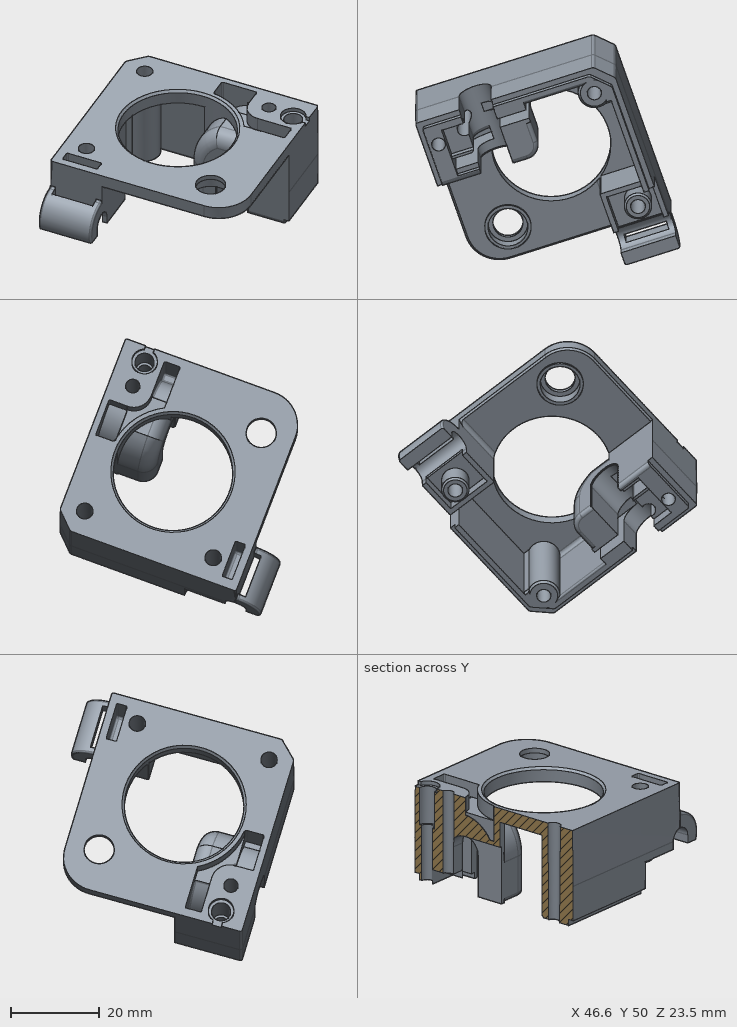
import cadquery as cq
import math

WIDTH = 46.55
DEPTH = 50.0
HEIGHT = 23.5
FRONT_Y = 5.85
PARTING_Z = 9.95
DRAFT = 0.5
BACK_CHAMFER = 4.0
FRONT_CORNER_R = 8.1
SMALL_CORNER_R = 0.6
CHAMFER_CORNER_R = 1.0

OVERRUN = 0.5

PLATE_THICKNESS = 3.5
PLATE_BOTTOM_Z = HEIGHT - PLATE_THICKNESS
PLATE_EDGE_CHAMFER = 0.45
LEFT_WALL = 2.55
BACK_WALL = 3.0
WALL_END_Y = 18.35
WALL_FILLET = 1.0
BACK_WALL_BOTTOM_FILLET = 0.5
LIP_HEIGHT = 1.5
LIP_INSET = 1.35

BORE_X = 21.1
BORE_Y = 29.0
BORE_D = 27.0
BORE_CHAMFER = 0.55
HOLE_SPACING = 31.0
LEFT_HOLE_X = BORE_X - HOLE_SPACING / 2
RIGHT_HOLE_X = BORE_X + HOLE_SPACING / 2
FRONT_HOLE_Y = BORE_Y - HOLE_SPACING / 2
BACK_HOLE_Y = BORE_Y + HOLE_SPACING / 2

HOLE_D = 3.2
TAPERED_HOLE_TOP_D = 3.7
PEG_D = 6.2
PEG_BOTTOM_Z = 5.9
PEG_EDGE = 0.45
BACK_BOSS_D = 7.3
BACK_BOSS_WEB_X = 4.05
BACK_BOSS_WEB_Y = 41.15
BACK_BOSS_EDGE = 0.5
COLLAR_HOLE_D = 6.8
COLLAR_RELIEF_D = 9.0
COLLAR_RELIEF_DEPTH = 1.15
COLLAR_D = 10.5
COLLAR_HEIGHT = 0.55

SCREW_X = 42.9
SCREW_Y = 44.0
SCREW_HOLE_D = 3.1
SCREW_COUNTERBORE_D = 4.3
SCREW_COUNTERBORE_DEPTH = 10.0
SEAT_D = 5.8
SEAT_DEPTH = 0.95
SEAT_NECK = 2.15

CLIP_LENGTH = 13.05
CLIP_Y = 6.0
CLIP_OUTER_R = 6.0
CLIP_BORE_R = 2.55
CLIP_BOTTOM_Z = 8.0
CLIP_ROOT_FILLET = 0.5
CLIP_END_FILLET = 0.45
CLIP_SLOT_X = (1.4, 11.55)
CLIP_SLOT_WIDTH = 1.7
BLOCK_SKIN = 1.15
BLOCK_RECESS_TOP_Z = 11.0

CORE_X = (2.3, 11.0)
CORE_Y = (7.7, 10.15)
CORE_DEPTH = 9.5
CORE_CORNER_R = 0.35
CORE_FLOOR_R = 0.6

ARCH_LEFT_X = 21.5
ARCH_FRONT_Y = 34.1
ARCH_X = 32.9
ARCH_Z = 9.85
ARCH_R = ARCH_X - ARCH_LEFT_X
ARCH_EDGE_FILLET = 3.5
ARCH_BOTTOM_FILLET = 1.0

SLOT_X = 32.2
SLOT_WIDTH = 7.65
SLOT_AXIS_Z = 10.05
SLOT_EDGE = 0.25
CAVITY_Y = (36.6, 39.2)
CAVITY_R = 9.0
POST_CORNER_R = 0.75
POST_BACK_Y = 39.8
POST_FOOT_Z = 3.4
WINDOW_Y = (43.5, 45.6)
WINDOW_TOP_Z = 13.9

CHANNEL_WALL_R = 15.0
CHANNEL_FLOOR_Z = 19.95
LEFT_POCKET_X = (23.05, 31.8)
LEFT_POCKET_Y = (44.0, 48.4)
LEFT_POCKET_FLOOR_Z = 15.0
LEFT_POCKET_ARCH_R = 9.25
RIGHT_POCKET_X = (36.5, 44.5)
RIGHT_POCKET_Y = (36.0, 39.8)
RIGHT_POCKET_FLOOR_Z = 12.0
RIGHT_POCKET_ARCH_R = 10.6
POCKET_CORNER_R = 0.35
POCKET_FLOOR_R = 0.3


def block(x_range, y_range, z_range):
    """Axis-aligned box between the given limits."""
    size = [b - a for a, b in (x_range, y_range, z_range)]
    corner = (x_range[0], y_range[0], z_range[0])
    return cq.Workplane("XY").box(*size, centered=False).translate(corner)


def cylinder(x, y, diameter, bottom_z, top_z):
    """Upright cylinder between two heights."""
    return cq.Workplane("XY", origin=(x, y, bottom_z)).circle(diameter / 2).extrude(top_z - bottom_z)


def cylinder_along_y(x, z, radius, y_range):
    """Cylinder lying along Y."""
    return cq.Workplane("XZ", origin=(x, y_range[0], z)).circle(radius).extrude(y_range[0] - y_range[1])


def edge_near(solid, point):
    """Selects the edge whose middle lies nearest to a point."""
    return solid.edges(cq.selectors.NearestToPointSelector(point))


def arched_slot(x, axis_z, radius, y_range):
    """Round-topped tool along Y that runs down past the bottom."""
    straight = block((x - radius, x + radius), y_range, (-OVERRUN, axis_z))
    return straight.union(cylinder_along_y(x, axis_z, radius, y_range))


def outline(inset=0.0):
    """Plan outline of the body: back left chamfer, large front right corner, small other corners."""
    left, right = inset, WIDTH - inset
    front, back = FRONT_Y + inset, DEPTH - inset
    cut = BACK_CHAMFER
    big = FRONT_CORNER_R - inset
    corners = [(left, front), (right, front), (right, back), (left + cut, back), (left, back - cut)]
    plan = cq.Sketch().polygon(corners + corners[:1])
    plan = plan.vertices(">X and <Y").fillet(big).reset()
    plan = plan.vertices("(<X or >Y) and (not <Y) and (not >X)").fillet(CHAMFER_CORNER_R).reset()
    return plan.vertices("(<X and <Y) or (>X and >Y)").fillet(SMALL_CORNER_R).reset()


def envelope():
    """Outer form: drafted both ways from the parting plane, with an inset lip at the bottom."""
    def drafted(height):
        plane = cq.Workplane("XY", origin=(0, 0, PARTING_Z))
        return plane.placeSketch(outline()).extrude(height, taper=DRAFT)

    lip = cq.Workplane("XY").placeSketch(outline(LIP_INSET)).extrude(LIP_HEIGHT)
    lower = drafted(LIP_HEIGHT - PARTING_Z)
    return drafted(HEIGHT - PARTING_Z).union(lower).union(lip)


def framework():
    """Plate, left and back walls, clip block and housing, trimmed to the outer form."""
    across = (0, WIDTH)
    plate = envelope().intersect(block(across, (0, DEPTH), (PLATE_BOTTOM_Z, HEIGHT)))
    plate = plate.faces("<Z").edges().chamfer(PLATE_EDGE_CHAMFER)
    left_wall = block((0, LEFT_WALL), (WALL_END_Y, DEPTH), (0, HEIGHT))
    back_wall = block(across, (DEPTH - BACK_WALL, DEPTH), (0, HEIGHT))
    back_wall = back_wall.edges("<Y and <Z").fillet(BACK_WALL_BOTTOM_FILLET)
    clip_block = block((0, CLIP_LENGTH), (0, WALL_END_Y), (CLIP_BOTTOM_Z, HEIGHT))
    housing = block((ARCH_LEFT_X, WIDTH), (ARCH_FRONT_Y, DEPTH), (0, HEIGHT))
    housing = housing.edges("<Y and <Z").fillet(ARCH_BOTTOM_FILLET)
    supports = left_wall.union(back_wall).union(clip_block).union(housing)
    frame = plate.union(supports.intersect(envelope()))

    back_y = DEPTH - BACK_WALL
    frame = edge_near(frame, (CLIP_LENGTH, (FRONT_Y + WALL_END_Y) / 2, PLATE_BOTTOM_Z)).fillet(WALL_FILLET)
    frame = edge_near(frame, ((LEFT_WALL + ARCH_LEFT_X) / 2, back_y, PLATE_BOTTOM_Z)).fillet(WALL_FILLET)
    return frame


def arch():
    """Rounded arch standing in front of the housing inside the bore."""
    top_z = PLATE_BOTTOM_Z
    top_x = ARCH_X - math.sqrt(ARCH_R**2 - (top_z - ARCH_Z) ** 2)
    middle_angle = math.pi - math.atan2(top_z - ARCH_Z, ARCH_X - top_x) / 2
    arc_middle = (ARCH_X + ARCH_R * math.cos(middle_angle), ARCH_Z + ARCH_R * math.sin(middle_angle))
    right = RIGHT_HOLE_X
    solid = (
        cq.Workplane("XZ", origin=(0, ARCH_FRONT_Y, 0))
        .moveTo(ARCH_LEFT_X, 0)
        .lineTo(ARCH_LEFT_X, ARCH_Z)
        .threePointArc(arc_middle, (top_x, top_z))
        .lineTo(right, top_z)
        .lineTo(right, 0)
        .close()
        .extrude(ARCH_FRONT_Y - BACK_HOLE_Y)
    )
    solid = solid.faces("<Y").edges("not(<Z or >X)").fillet(ARCH_EDGE_FILLET)
    return solid.faces("<Z").edges("<Y").fillet(ARCH_BOTTOM_FILLET)


def clip():
    """Half-round clip on the front wall, with a filleted root and rounded ends."""
    root_y = FRONT_Y - CLIP_ROOT_FILLET
    reach = CLIP_OUTER_R + CLIP_ROOT_FILLET
    root_z = PARTING_Z + math.sqrt(reach**2 - (CLIP_Y - root_y) ** 2)
    share = CLIP_OUTER_R / reach
    blend = (CLIP_Y + (root_y - CLIP_Y) * share, PARTING_Z + (root_z - PARTING_Z) * share)
    half = math.sqrt(0.5)
    blend_middle = (root_y + CLIP_ROOT_FILLET * half, root_z - CLIP_ROOT_FILLET * half)
    outer_middle = (CLIP_Y - CLIP_OUTER_R * half, PARTING_Z + CLIP_OUTER_R * half)
    nose_y = CLIP_Y - math.sqrt(CLIP_OUTER_R**2 - (PARTING_Z - CLIP_BOTTOM_Z) ** 2)
    solid = (
        cq.Workplane("YZ")
        .moveTo(nose_y, CLIP_BOTTOM_Z)
        .threePointArc(outer_middle, blend)
        .threePointArc(blend_middle, (FRONT_Y, root_z))
        .lineTo(CLIP_Y, root_z)
        .lineTo(CLIP_Y, CLIP_BOTTOM_Z)
        .close()
        .extrude(CLIP_LENGTH)
    )
    return solid.faces("<X or >X").edges("%CIRCLE").fillet(CLIP_END_FILLET)


def clip_cuts():
    """Bore of the clip, open downwards, and the slot along its root."""
    bore = cq.Workplane("YZ").center(CLIP_Y, PARTING_Z).circle(CLIP_BORE_R).extrude(CLIP_LENGTH)
    mouth_y = (CLIP_Y - CLIP_BORE_R, CLIP_Y + CLIP_BORE_R)
    mouth = block((0, CLIP_LENGTH), mouth_y, (0, PARTING_Z))
    slot = block(CLIP_SLOT_X, (FRONT_Y - CLIP_SLOT_WIDTH, CLIP_Y), (PARTING_Z, PLATE_BOTTOM_Z))
    slot = slot.cut(envelope())
    return bore.union(mouth).union(slot)


def block_recess():
    """Hollow in the underside of the clip block, inside an even skin."""
    return block(
        (BLOCK_SKIN, CLIP_LENGTH - BLOCK_SKIN),
        (CLIP_Y + CLIP_BORE_R, WALL_END_Y - BLOCK_SKIN),
        (CLIP_BOTTOM_Z, BLOCK_RECESS_TOP_Z),
    )


def bosses():
    """Peg and boss around the left holes, and the collar under the front right hole."""
    peg = cylinder(LEFT_HOLE_X, FRONT_HOLE_Y, PEG_D, PEG_BOTTOM_Z, PLATE_BOTTOM_Z)
    peg = peg.faces("<Z").edges().chamfer(PEG_EDGE)
    back_boss = cylinder(LEFT_HOLE_X, BACK_HOLE_Y, BACK_BOSS_D, 0, PLATE_BOTTOM_Z)
    web = block((0, BACK_BOSS_WEB_X), (BACK_BOSS_WEB_Y, DEPTH), (0, PLATE_BOTTOM_Z))
    back_boss = back_boss.union(web).faces("<Z").edges().chamfer(BACK_BOSS_EDGE)
    collar = cylinder(RIGHT_HOLE_X, FRONT_HOLE_Y, COLLAR_D, PLATE_BOTTOM_Z - COLLAR_HEIGHT, PLATE_BOTTOM_Z)
    return peg.union(back_boss).union(collar)


def tapered_hole(y):
    """Left-hand through hole that narrows from the top face to the bottom."""
    return (
        cq.Workplane("XY", origin=(LEFT_HOLE_X, y, 0))
        .circle(HOLE_D / 2)
        .workplane(offset=HEIGHT)
        .circle(TAPERED_HOLE_TOP_D / 2)
        .loft()
    )


def holes():
    """The four pattern holes and the screw hole with its keyhole-shaped seat."""
    collar_bore = cylinder(RIGHT_HOLE_X, FRONT_HOLE_Y, COLLAR_HOLE_D, 0, HEIGHT)
    relief = cylinder(RIGHT_HOLE_X, FRONT_HOLE_Y, COLLAR_RELIEF_D, 0, HEIGHT - COLLAR_RELIEF_DEPTH)
    plain = cylinder(RIGHT_HOLE_X, BACK_HOLE_Y, HOLE_D, 0, HEIGHT)
    screw = cylinder(SCREW_X, SCREW_Y, SCREW_HOLE_D, 0, HEIGHT)
    counterbore = cylinder(SCREW_X, SCREW_Y, SCREW_COUNTERBORE_D, HEIGHT - SCREW_COUNTERBORE_DEPTH, HEIGHT)
    seat = cylinder(SCREW_X, SCREW_Y, SEAT_D, HEIGHT - SEAT_DEPTH, HEIGHT)
    neck_y = (SCREW_Y - SEAT_NECK / 2, SCREW_Y + SEAT_NECK / 2)
    neck = block((SCREW_X, WIDTH), neck_y, (HEIGHT - SEAT_DEPTH, HEIGHT))
    tools = collar_bore.union(relief).union(plain).union(screw).union(counterbore).union(seat).union(neck)
    for y in (FRONT_HOLE_Y, BACK_HOLE_Y):
        tools = tools.union(tapered_hole(y))
    return tools


def channel():
    """Channel that curves from the left pocket to the right pocket outside the bore wall."""
    def pocket(x_range, y_range, floor_z, arch_r):
        box = block(x_range, y_range, (floor_z, HEIGHT)).edges("|Z").fillet(POCKET_CORNER_R)
        return box.cut(cylinder_along_y(SLOT_X, SLOT_AXIS_Z, arch_r, y_range))

    left = pocket(LEFT_POCKET_X, LEFT_POCKET_Y, LEFT_POCKET_FLOOR_Z, LEFT_POCKET_ARCH_R)
    right = pocket(RIGHT_POCKET_X, RIGHT_POCKET_Y, RIGHT_POCKET_FLOOR_Z, RIGHT_POCKET_ARCH_R)
    right = right.faces("<Y or >Y").edges("%CIRCLE").fillet(POCKET_FLOOR_R)
    right = right.faces("<Z").edges(">X").fillet(POCKET_FLOOR_R)

    corner_x, corner_y = LEFT_POCKET_X[1], RIGHT_POCKET_Y[1]
    turn = LEFT_POCKET_Y[0] - corner_y
    half = math.sqrt(0.5)
    turn_middle = (corner_x + turn * (1 - half), corner_y + turn * (1 - half))
    link = (
        cq.Workplane("XY", origin=(0, 0, CHANNEL_FLOOR_Z))
        .moveTo(LEFT_POCKET_X[0] + POCKET_CORNER_R, LEFT_POCKET_Y[0])
        .lineTo(corner_x, LEFT_POCKET_Y[0])
        .threePointArc(turn_middle, (corner_x + turn, corner_y))
        .lineTo(RIGHT_POCKET_X[0] + POCKET_CORNER_R, corner_y)
        .lineTo(RIGHT_POCKET_X[0] + POCKET_CORNER_R, RIGHT_POCKET_Y[0])
        .lineTo(LEFT_POCKET_X[0] + POCKET_CORNER_R, RIGHT_POCKET_Y[0])
        .close()
        .extrude(HEIGHT - CHANNEL_FLOOR_Z)
    )
    link = link.cut(cylinder(BORE_X, BORE_Y, 2 * CHANNEL_WALL_R, 0, HEIGHT))
    return left.union(right).union(link)


def slot_cuts():
    """Arched slot through the housing, its stepped mouth, inner cavity and side window."""
    through = arched_slot(SLOT_X, SLOT_AXIS_Z, SLOT_WIDTH / 2, (ARCH_FRONT_Y - OVERRUN, DEPTH + OVERRUN))
    mouth_y = (ARCH_FRONT_Y, ARCH_FRONT_Y + SLOT_EDGE)
    mouth = arched_slot(SLOT_X, SLOT_AXIS_Z, SLOT_WIDTH / 2 + SLOT_EDGE, mouth_y)
    cavity = arched_slot(SLOT_X, SLOT_AXIS_Z, CAVITY_R, CAVITY_Y)
    cavity = cavity.intersect(block((SLOT_X, WIDTH), CAVITY_Y, (-OVERRUN, HEIGHT)))
    window = block((ARCH_LEFT_X, SLOT_X), WINDOW_Y, (0, WINDOW_TOP_Z))

    back_wall_y = DEPTH - BACK_WALL
    recess_x = (SLOT_X, SLOT_X + CAVITY_R)
    foot = block(recess_x, (ARCH_FRONT_Y + LIP_INSET, back_wall_y), (-OVERRUN, LIP_HEIGHT))
    foot = foot.union(block(recess_x, (POST_BACK_Y, back_wall_y), (-OVERRUN, POST_FOOT_Z)))

    slot_right = SLOT_X + SLOT_WIDTH / 2
    post_edge = (slot_right, CAVITY_Y[1], SLOT_AXIS_Z / 2)
    tool = edge_near(through.union(cavity), post_edge).fillet(POST_CORNER_R)
    return tool.union(mouth).union(window).union(foot)


def core_pocket():
    """Coring pocket in the top of the clip block."""
    pocket = block(CORE_X, CORE_Y, (HEIGHT - CORE_DEPTH, HEIGHT))
    pocket = pocket.edges("|Z").fillet(CORE_CORNER_R)
    return pocket.faces("<Z").edges().fillet(CORE_FLOOR_R)


def bore_cut():
    """Large bore with a chamfered rim."""
    bore = cylinder(BORE_X, BORE_Y, BORE_D, 0, HEIGHT)
    rim = cq.Workplane("XY", origin=(BORE_X, BORE_Y, HEIGHT)).circle(BORE_D / 2 + BORE_CHAMFER)
    rim = rim.workplane(offset=-BORE_CHAMFER).circle(BORE_D / 2).loft()
    return bore.union(rim)


result = framework().cut(bore_cut()).union(arch()).union(clip())
result = result.cut(block_recess()).union(bosses().intersect(envelope()))
for tool in (clip_cuts(), holes(), channel(), slot_cuts(), core_pocket()):
    result = result.cut(tool)